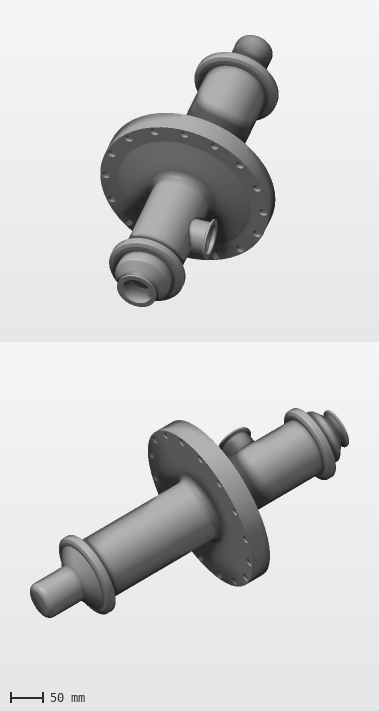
import cadquery as cq
import math

plate_radius = 275.0 / 2
plate_front = 228.0
plate_thickness = 33.5
plate_back = plate_front + plate_thickness
bolt_count = 16
bolt_circle_radius = 128.0
bolt_hole_diameter = 13.0
hub_cone_radius = 108.5
hub_cone_angle = 10.0
blend_radius = 10.0

front_tube_radius = 94.0 / 2
rear_tube_radius = 101.5 / 2
front_flange_radius = 122.0 / 2
rear_flange_radius = 135.0 / 2
flange_thickness = 16.5
flange_rim_fillet = 3.5
flange_bevel_width = 7.0
bevel_angle = 20.0
front_flange_start = 43.5
front_flange_end = front_flange_start + flange_thickness
rear_flange_start = 469.0
rear_flange_end = rear_flange_start + flange_thickness

shaft_radius = 60.5 / 2
shaft_end = 570.0
cone_base_radius = 109.0 / 2
cone_base_height = 1.5
cone_end = 504.5
cone_fillet = 1.5

neck_radius = 89.0 / 2
reducer_length = 33.5
reducer_shoulder = 28.5
shoulder_blend_radius = 5.0
throat_blend_radius = 8.0
reducer_cone_angle = 50.0
bore_radius = 48.0 / 2

ferrule_radius = 64.0 / 2
ferrule_edge = 3.0
ferrule_fillet = 1.5
pipe_radius = 52.0 / 2

nozzle_station = 146.0
nozzle_reach = 72.0
nozzle_bore_depth = reducer_length


def revolve_about_y(outline):
    """Turn a closed XY outline, with X as radius, about the Y axis."""
    return outline.close().revolve(360, (0, 0, 0), (0, 1, 0))


def cylinder(radius, start, end):
    """Cylinder along Y between two stations."""
    return cq.Workplane("XZ", origin=(0, start, 0)).circle(radius).extrude(start - end)


def fillet_circle(body, radius, station, fillet):
    """Round the circular edge with the given radius and Y station."""
    def is_wanted(edge):
        return math.isclose(edge.radius(), radius) and math.isclose(edge.Center().y, station)

    return body.edges("%CIRCLE").filter(is_wanted).fillet(fillet)


def end_flange(radius, start):
    """Disc with both faces bevelled towards a rounded rim."""
    bevel_depth = flange_bevel_width * math.tan(math.radians(bevel_angle))
    end = start + flange_thickness
    body = revolve_about_y(
        cq.Workplane("XY")
        .moveTo(0, start)
        .lineTo(radius - flange_bevel_width, start)
        .lineTo(radius, start + bevel_depth)
        .lineTo(radius, end - bevel_depth)
        .lineTo(radius - flange_bevel_width, end)
        .lineTo(0, end)
    )
    body = fillet_circle(body, radius, start + bevel_depth, flange_rim_fillet)
    return fillet_circle(body, radius, end - bevel_depth, flange_rim_fillet)


def make_plate_and_tubes():
    """Plate with its hub cone and a tube on each side, blended together."""
    hub_height = (hub_cone_radius - front_tube_radius) * math.tan(math.radians(hub_cone_angle))
    hub_tip = plate_front - hub_height
    body = revolve_about_y(
        cq.Workplane("XY")
        .moveTo(0, front_flange_end)
        .lineTo(front_tube_radius, front_flange_end)
        .lineTo(front_tube_radius, hub_tip)
        .lineTo(hub_cone_radius, plate_front)
        .lineTo(plate_radius, plate_front)
        .lineTo(plate_radius, plate_back)
        .lineTo(rear_tube_radius, plate_back)
        .lineTo(rear_tube_radius, rear_flange_start)
        .lineTo(0, rear_flange_start)
    )
    body = fillet_circle(body, front_tube_radius, hub_tip, blend_radius)
    body = fillet_circle(body, hub_cone_radius, plate_front, blend_radius)
    return fillet_circle(body, rear_tube_radius, plate_back, blend_radius)


def make_shaft_end():
    """Cone on the rear flange leading into the round-ended shaft."""
    cone_base = rear_flange_end + cone_base_height
    body = revolve_about_y(
        cq.Workplane("XY")
        .moveTo(0, rear_flange_end)
        .lineTo(cone_base_radius, rear_flange_end)
        .lineTo(cone_base_radius, cone_base)
        .lineTo(shaft_radius, cone_end)
        .lineTo(shaft_radius, shaft_end)
        .lineTo(0, shaft_end)
    )
    body = fillet_circle(body, shaft_radius, cone_end, cone_fillet)
    return fillet_circle(body, shaft_radius, shaft_end, blend_radius)


def ferrule_neck():
    """Distance from a ferrule's face to where its bevel meets the pipe."""
    return ferrule_edge + (ferrule_radius - pipe_radius) * math.tan(math.radians(bevel_angle))


def make_side_nozzle():
    """Pipe with a ferrule, built along Y with its face at zero, then turned to +X."""
    body = revolve_about_y(
        cq.Workplane("XY")
        .lineTo(ferrule_radius, 0)
        .lineTo(ferrule_radius, ferrule_edge)
        .lineTo(pipe_radius, ferrule_neck())
        .lineTo(pipe_radius, nozzle_reach)
        .lineTo(0, nozzle_reach)
    )
    body = fillet_circle(body, pipe_radius, ferrule_neck(), ferrule_fillet)
    return place_on_side(body)


def place_on_side(body):
    """Move a body from the Y axis, face at zero, to the side nozzle position."""
    turned = body.rotate((0, 0, 0), (0, 0, 1), 90)
    return turned.translate((nozzle_reach, nozzle_station, 0))


def bolt_holes():
    """Cutters for the bolt circle, with the first hole on +X."""
    return (
        cq.Workplane("XZ", origin=(0, plate_back, 0))
        .polarArray(bolt_circle_radius, 0, 360, bolt_count)
        .circle(bolt_hole_diameter / 2)
        .extrude(plate_thickness)
    )


def make_housing():
    """Shaft end, tubes, flanges, plate, side nozzle and the neck stub in one solid."""
    body = make_plate_and_tubes()
    body = body.union(end_flange(rear_flange_radius, rear_flange_start))
    body = body.union(make_shaft_end())
    body = body.union(end_flange(front_flange_radius, front_flange_start))
    body = body.union(cylinder(neck_radius, reducer_length, front_flange_start))
    body = body.union(make_side_nozzle())
    body = body.cut(place_on_side(cylinder(bore_radius, 0, nozzle_bore_depth)))
    return body.cut(bolt_holes())


def make_reducer():
    """Bored reducer from the neck down to the ferrule at the open end."""
    slope = math.tan(math.radians(reducer_cone_angle))
    setback = shoulder_blend_radius * math.tan(math.radians(reducer_cone_angle / 2))
    cone_top = reducer_shoulder - setback
    cone_bottom = cone_top - (neck_radius - pipe_radius) / slope
    body = revolve_about_y(
        cq.Workplane("XY")
        .lineTo(ferrule_radius, 0)
        .lineTo(ferrule_radius, ferrule_edge)
        .lineTo(pipe_radius, ferrule_neck())
        .lineTo(pipe_radius, cone_bottom)
        .lineTo(neck_radius, cone_top)
        .lineTo(neck_radius, reducer_length)
        .lineTo(0, reducer_length)
    )
    body = fillet_circle(body, neck_radius, cone_top, shoulder_blend_radius)
    body = fillet_circle(body, pipe_radius, cone_bottom, throat_blend_radius)
    body = fillet_circle(body, pipe_radius, ferrule_neck(), ferrule_fillet)
    return body.cut(cylinder(bore_radius, 0, reducer_length))


housing = make_housing()
reducer = make_reducer()
result = cq.Compound.makeCompound([housing.val(), reducer.val()])